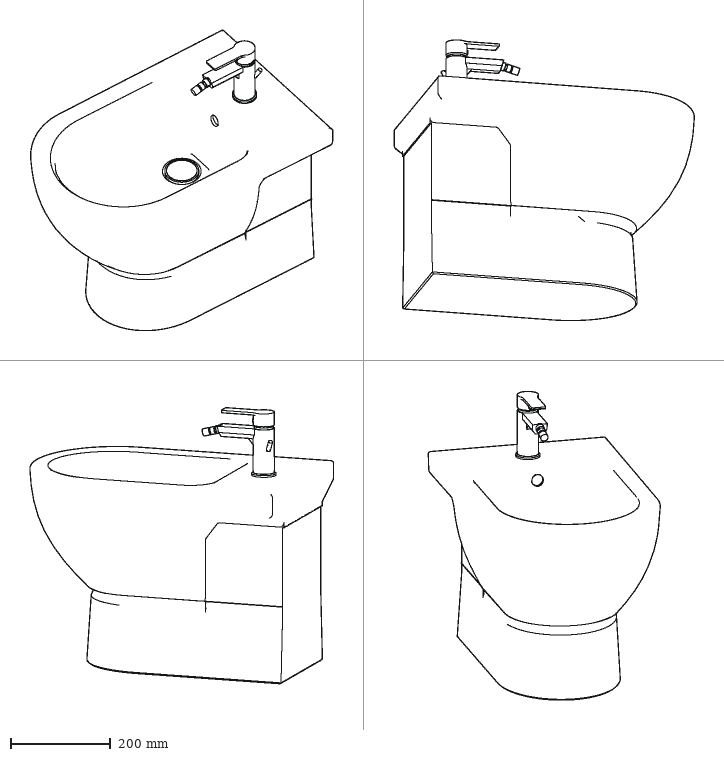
import cadquery as cq
import math


LENGTH = 569.5
RIM_HEIGHT = 399.0
RIM_EDGE_RADIUS = 7.0
SIDE_TAPER = 2.55

BOWL_SECTIONS = [
    (157.0, 117.5, 452.0, 114.0),
    (211.0, 144.5, 503.0, 136.5),
    (267.5, 166.5, 540.5, 154.0),
    (336.0, 179.5, 563.0, 159.5),
    (RIM_HEIGHT, 182.0, LENGTH, 156.5),
]

NECK_HEIGHT = 135.5
NECK_HALF_WIDTH = 116.0
NECK_REACH = 445.0
WAIST_HEIGHT = 149.0
WAIST_HALF_WIDTH = 113.5
WAIST_REACH = 441.5
FOOT_HALF_WIDTH = 125.5
FOOT_REACH = 454.0
FOOT_ROUND = 142.5
NECK_ROUND = 125.5
PEDESTAL_BACK = 3.0
SETBACK_TOP = 319.0
FOOT_CHAMFER = 3.0

RECESS_OUTER_TOP = 353.5
RECESS_OUTER_REACH = 179.5
RECESS_OUTER_CORNER = 8.5
RECESS_INNER_TOP = 320.0
RECESS_INNER_REACH = 167.0
RECESS_CORNER_REACH = 140.0
RECESS_CORNER_HEIGHT = 285.0
RECESS_EDGE_RADIUS = 8.5

BASIN_SECTIONS = [
    (278.0, 45.5, 193.5, 364.5, 23.0),
    (285.0, 94.0, 179.5, 444.0, 40.0),
    (302.0, 122.5, 170.0, 495.5, 45.5),
    (347.5, 138.5, 161.0, 521.0, 48.5),
    (RIM_HEIGHT, 147.0, 155.5, 536.5, 51.0),
]
BASIN_EDGE_RADIUS = 7.0
BASIN_FLOOR = BASIN_SECTIONS[0][0]

OVERFLOW_HEIGHT = 371.0
OVERFLOW_DIAMETER = 24.0
OVERFLOW_REACH = 154.0

DRAIN_Y = -241.0
DRAIN_SEAT_RADIUS = 39.0
DRAIN_SEAT_DEPTH = 4.5
DRAIN_RING_RADIUS = 34.0
DRAIN_RING_RISE = 1.5
PLUG_RADIUS = 31.0
PLUG_EDGE_RISE = 3.0
PLUG_DOME_RISE = 5.5

TAP_Y = -84.0
TAP_RADIUS = 21.35
TAP_FLANGE_RADIUS = 24.5
TAP_FLANGE_HEIGHT = 5.5
TAP_FLANGE_CHAMFER = 2.0
TAP_TOP = 495.5
TAP_NECK_RADIUS = 19.5
TAP_NECK_TOP = 499.5

SPOUT_HALF_WIDTH = 15.5
SPOUT_SIDE_HEIGHT = 12.5
SPOUT_HEIGHT = 22.0
SPOUT_BOTTOM_HALF_WIDTH = 8.0
SPOUT_END_Y = -177.5
SPOUT_END_SLANT = 5.5
GUSSET_REACH = 8.5
GUSSET_HEIGHT = 11.0

LEVER_TOP = 528.5
LEVER_WIDTH = 29.5
LEVER_END_Y = -170.0
LEVER_THICKNESS = 5.0
LEVER_TIP_THICKNESS = 3.0
LEVER_CAP_BASE_CHAMFER = 3.0
LEVER_NECK_RADIUS = 17.0
LEVER_CORNER_RADIUS = 3.5
BUTTON_HEIGHT = 510.0
BUTTON_RADIUS = 4.5
BUTTON_RISE = 1.0

NOZZLE_TILT = 15.0
NOZZLE_SOCKET_DEPTH = 5.5
NOZZLE_STEPS = [
    (11.5, 8.25),
    (4.0, 5.0),
    (9.0, 7.7),
    (2.0, 5.0),
    (14.0, 7.7),
]
NOZZLE_DROP = 7.5

KNOB_RADIUS = 4.25
KNOB_LENGTH = 23.0
KNOB_LEAN = 30.0
KNOB_AZIMUTH = 45.0
KNOB_BASE_DISTANCE = 20.5
KNOB_BASE_HEIGHT = 453.5


def round_front_outline(height, half_width, reach, front_length, back=0.0, taper=0.0):
    """Horizontal outline with a straight wall side and a half-elliptic front."""
    round_start = front_length - reach
    return (
        cq.Workplane("XY", origin=(0, 0, height))
        .moveTo(half_width + taper, -back)
        .lineTo(-half_width - taper, -back)
        .lineTo(-half_width, round_start)
        .ellipseArc(half_width, front_length, 180, 360, sense=1)
        .close()
        .val()
    )


def make_bowl():
    wires = [round_front_outline(*section, taper=SIDE_TAPER) for section in BOWL_SECTIONS]
    bowl = cq.Workplane(cq.Solid.makeLoft(wires))
    return bowl.faces(">Z").edges().fillet(RIM_EDGE_RADIUS)


def set_back_from_wall(bowl):
    """Trim the wall side below the rear shelf so that it lines up with the pedestal."""
    cutter = (
        cq.Workplane("XZ")
        .rect(LENGTH, 2 * SETBACK_TOP)
        .extrude(PEDESTAL_BACK)
    )
    return bowl.cut(cutter)


def make_recess_cutter():
    """Recess on the +X side: narrows from the bowl's side to the pedestal."""
    below = BOWL_SECTIONS[0][0] - 5.5
    beyond_wall = 5.5
    outer_x = BOWL_SECTIONS[-1][1] + SIDE_TAPER
    outer = [
        (beyond_wall, below),
        (beyond_wall, RECESS_OUTER_TOP),
        (RECESS_OUTER_CORNER - RECESS_OUTER_REACH, RECESS_OUTER_TOP),
        (-RECESS_OUTER_REACH, RECESS_OUTER_TOP - RECESS_OUTER_CORNER),
        (-RECESS_OUTER_REACH, below),
    ]
    inner = [
        (beyond_wall, below),
        (beyond_wall, RECESS_INNER_TOP),
        (-RECESS_CORNER_REACH, RECESS_INNER_TOP),
        (-RECESS_INNER_REACH, RECESS_CORNER_HEIGHT),
        (-RECESS_INNER_REACH, below),
    ]
    return (
        cq.Workplane("YZ", origin=(NECK_HALF_WIDTH, 0, 0))
        .polyline(inner)
        .close()
        .workplane(offset=outer_x - NECK_HALF_WIDTH)
        .polyline(outer)
        .close()
        .loft(ruled=True)
    )


def cut_recesses(bowl):
    """Cut both recesses and round the edges they leave on the bowl's sides."""
    right_cutter = make_recess_cutter()
    bowl = bowl.cut(right_cutter).cut(right_cutter.mirror("YZ"))
    inside = (FOOT_HALF_WIDTH, -RECESS_OUTER_REACH - RECESS_EDGE_RADIUS, BOWL_SECTIONS[0][0])
    outside = (LENGTH, RECESS_EDGE_RADIUS, RECESS_OUTER_TOP + RECESS_EDGE_RADIUS)
    for side in (1, -1):
        recess_edges = bowl.edges(cq.selectors.BoxSelector(
            (side * inside[0], inside[1], inside[2]),
            (side * outside[0], outside[1], outside[2]),
        ))
        bowl = recess_edges.fillet(RECESS_EDGE_RADIUS)
    return bowl


def make_pedestal():
    sole = round_front_outline(
        0,
        FOOT_HALF_WIDTH - FOOT_CHAMFER,
        FOOT_REACH - FOOT_CHAMFER,
        FOOT_ROUND - FOOT_CHAMFER,
        PEDESTAL_BACK + FOOT_CHAMFER,
    )
    foot = round_front_outline(
        FOOT_CHAMFER, FOOT_HALF_WIDTH, FOOT_REACH, FOOT_ROUND, PEDESTAL_BACK)
    neck = round_front_outline(
        NECK_HEIGHT, NECK_HALF_WIDTH, NECK_REACH, NECK_ROUND, PEDESTAL_BACK)
    bowl_base = round_front_outline(*BOWL_SECTIONS[0], back=PEDESTAL_BACK)
    waist = round_front_outline(
        WAIST_HEIGHT, WAIST_HALF_WIDTH, WAIST_REACH, NECK_ROUND, PEDESTAL_BACK)
    base = cq.Workplane(cq.Solid.makeLoft([sole, foot, neck], True))
    collar = cq.Workplane(cq.Solid.makeLoft([neck, waist, bowl_base]))
    rear_block = (
        cq.Workplane("XZ", origin=(0, -PEDESTAL_BACK, NECK_HEIGHT))
        .rect(2 * NECK_HALF_WIDTH, 2 * (BOWL_SECTIONS[0][0] - NECK_HEIGHT))
        .extrude(RECESS_INNER_REACH - PEDESTAL_BACK)
    )
    return base.union(collar).union(rear_block)


def basin_outline(height, half_width, back, front, corner):
    """Horizontal outline with rounded rear corners and a half-elliptic front."""
    diagonal = corner * (1 - math.sqrt(0.5))
    return (
        cq.Workplane("XY", origin=(0, 0, height))
        .moveTo(half_width - corner, -back)
        .lineTo(corner - half_width, -back)
        .threePointArc(
            (diagonal - half_width, -back - diagonal), (-half_width, -back - corner))
        .lineTo(-half_width, half_width - front)
        .ellipseArc(half_width, half_width, 180, 360, sense=1)
        .lineTo(half_width, -back - corner)
        .threePointArc(
            (half_width - diagonal, -back - diagonal), (half_width - corner, -back))
        .close()
        .val()
    )


def make_overflow_cutter():
    depth = BASIN_SECTIONS[0][2] - OVERFLOW_REACH
    return (
        cq.Workplane("XZ", origin=(0, -OVERFLOW_REACH, OVERFLOW_HEIGHT))
        .circle(OVERFLOW_DIAMETER / 2)
        .extrude(depth)
    )


def make_drain_seat_cutter():
    """Conical seat around the drain, running down to the ring's footprint."""
    bottom = BASIN_FLOOR - DRAIN_SEAT_DEPTH
    return (
        cq.Workplane("XY", origin=(0, DRAIN_Y, bottom))
        .circle(DRAIN_RING_RADIUS)
        .workplane(offset=DRAIN_SEAT_DEPTH)
        .circle(DRAIN_SEAT_RADIUS)
        .loft(ruled=True)
    )


def make_bidet():
    bowl = cut_recesses(set_back_from_wall(make_bowl()))
    basin = cq.Workplane(cq.Solid.makeLoft([basin_outline(*s) for s in BASIN_SECTIONS]))
    bidet = bowl.cut(basin)
    opening = bidet.faces(">Z").val().innerWires()[0]
    bidet = bidet.newObject(opening.Edges()).fillet(BASIN_EDGE_RADIUS)
    bidet = bidet.union(make_pedestal())
    bidet = bidet.cut(make_overflow_cutter()).cut(make_drain_seat_cutter())
    return bidet


def make_drain_ring():
    bottom = BASIN_FLOOR - DRAIN_SEAT_DEPTH
    return (
        cq.Workplane("XY", origin=(0, DRAIN_Y, bottom))
        .circle(DRAIN_RING_RADIUS)
        .circle(PLUG_RADIUS)
        .extrude(DRAIN_SEAT_DEPTH + DRAIN_RING_RISE)
    )


def make_drain_plug():
    """Domed disc inside the drain ring."""
    edge_height = DRAIN_SEAT_DEPTH + PLUG_EDGE_RISE
    dome_height = edge_height + PLUG_DOME_RISE
    sphere_radius = (PLUG_RADIUS**2 + PLUG_DOME_RISE**2) / (2 * PLUG_DOME_RISE)
    half_x = PLUG_RADIUS / 2
    half_z = dome_height - sphere_radius + math.sqrt(sphere_radius**2 - half_x**2)
    return (
        cq.Workplane("XZ", origin=(0, DRAIN_Y, BASIN_FLOOR - DRAIN_SEAT_DEPTH))
        .lineTo(PLUG_RADIUS, 0)
        .lineTo(PLUG_RADIUS, edge_height)
        .threePointArc((half_x, half_z), (0, dome_height))
        .close()
        .revolve(360, (0, 0), (0, 1))
    )


def tap_cylinder(bottom, top, radius):
    return cq.Workplane("XY", origin=(0, TAP_Y, bottom)).circle(radius).extrude(top - bottom)


def make_spout():
    """Bar with sides that slope together at the bottom and a slanted front end."""
    bottom = TAP_TOP - SPOUT_HEIGHT
    side_bottom = TAP_TOP - SPOUT_SIDE_HEIGHT
    bar = (
        cq.Workplane("XZ", origin=(0, TAP_Y, 0))
        .polyline([
            (-SPOUT_HALF_WIDTH, TAP_TOP),
            (SPOUT_HALF_WIDTH, TAP_TOP),
            (SPOUT_HALF_WIDTH, side_bottom),
            (SPOUT_BOTTOM_HALF_WIDTH, bottom),
            (-SPOUT_BOTTOM_HALF_WIDTH, bottom),
            (-SPOUT_HALF_WIDTH, side_bottom),
        ])
        .close()
        .extrude(TAP_Y - SPOUT_END_Y)
    )
    end_cutter = (
        cq.Workplane("YZ")
        .polyline([
            (SPOUT_END_Y, TAP_TOP),
            (SPOUT_END_Y, bottom),
            (SPOUT_END_Y + SPOUT_END_SLANT, bottom),
        ])
        .close()
        .extrude(SPOUT_HALF_WIDTH, both=True)
    )
    front_y = TAP_Y - TAP_RADIUS
    gusset = (
        cq.Workplane("YZ")
        .polyline([
            (TAP_Y, bottom),
            (front_y - GUSSET_REACH, bottom),
            (front_y, bottom - GUSSET_HEIGHT),
            (TAP_Y, bottom - GUSSET_HEIGHT),
        ])
        .close()
        .extrude(SPOUT_BOTTOM_HALF_WIDTH, both=True)
    )
    return bar.cut(end_cutter).union(gusset)


def make_tap_body(nozzle):
    flange = tap_cylinder(RIM_HEIGHT, RIM_HEIGHT + TAP_FLANGE_HEIGHT, TAP_FLANGE_RADIUS)
    flange = flange.faces(">Z").edges().chamfer(TAP_FLANGE_CHAMFER)
    column = tap_cylinder(RIM_HEIGHT, TAP_TOP, TAP_RADIUS)
    neck = tap_cylinder(TAP_TOP, TAP_NECK_TOP, TAP_NECK_RADIUS)
    return flange.union(column).union(neck).union(make_spout()).cut(nozzle)


def make_lever():
    """Round cap with a thin handle that thins out towards its tip, and a button on its front."""
    cap = tap_cylinder(TAP_NECK_TOP, LEVER_TOP, TAP_RADIUS)
    cap = cap.faces("<Z").edges().chamfer(LEVER_CAP_BASE_CHAMFER)
    handle = (
        cq.Workplane("YZ")
        .polyline([
            (TAP_Y, LEVER_TOP),
            (LEVER_END_Y, LEVER_TOP),
            (LEVER_END_Y, LEVER_TOP - LEVER_TIP_THICKNESS),
            (LEVER_END_Y + LEVER_TIP_THICKNESS, LEVER_TOP - LEVER_THICKNESS),
            (TAP_Y, LEVER_TOP - LEVER_THICKNESS),
        ])
        .close()
        .extrude(LEVER_WIDTH / 2, both=True)
        .edges("|Z and <Y")
        .fillet(LEVER_CORNER_RADIUS)
    )
    cap = cap.union(handle)
    cap = cap.edges(cq.selectors.BoxSelector(
        (-LEVER_WIDTH, TAP_Y - TAP_RADIUS, LEVER_TOP - LEVER_THICKNESS),
        (LEVER_WIDTH, TAP_Y - LEVER_WIDTH / 4, LEVER_TOP))).edges("|Z").fillet(LEVER_NECK_RADIUS)
    button = (
        cq.Workplane("XZ", origin=(0, TAP_Y, BUTTON_HEIGHT))
        .circle(BUTTON_RADIUS)
        .extrude(TAP_RADIUS + BUTTON_RISE)
    )
    return cap.union(button)


def make_nozzle():
    """Stepped round nozzle tilted down from a socket in the spout's end."""
    start_y = SPOUT_END_Y + NOZZLE_SOCKET_DEPTH
    tilt = math.radians(NOZZLE_TILT)
    axis_plane = cq.Plane(
        origin=(0, start_y, TAP_TOP - NOZZLE_DROP),
        xDir=(1, 0, 0),
        normal=(0, -math.cos(tilt), -math.sin(tilt)),
    )
    nozzle = cq.Workplane(axis_plane)
    distance = 0
    for length, radius in NOZZLE_STEPS:
        step = cq.Workplane(axis_plane).workplane(offset=distance).circle(radius).extrude(length)
        nozzle = nozzle.union(step) if distance else step
        distance += length
    return nozzle


def make_knob(tap_body):
    """Small pull knob leaning outward from the back of the tap column."""
    azimuth = math.radians(KNOB_AZIMUTH)
    lean = math.radians(KNOB_LEAN)
    axis_plane = cq.Plane(
        origin=(
            KNOB_BASE_DISTANCE * math.cos(azimuth),
            TAP_Y + KNOB_BASE_DISTANCE * math.sin(azimuth),
            KNOB_BASE_HEIGHT,
        ),
        normal=(
            math.sin(lean) * math.cos(azimuth),
            math.sin(lean) * math.sin(azimuth),
            math.cos(lean),
        ),
    )
    return cq.Workplane(axis_plane).circle(KNOB_RADIUS).extrude(KNOB_LENGTH).cut(tap_body)


bidet = make_bidet()
drain_ring = make_drain_ring()
drain_plug = make_drain_plug()
nozzle = make_nozzle()
tap_body = make_tap_body(nozzle)
lever = make_lever()
knob = make_knob(tap_body)

result = cq.Compound.makeCompound([
    bidet.solids().val(),
    drain_ring.solids().val(),
    drain_plug.solids().val(),
    tap_body.solids().val(),
    lever.solids().val(),
    nozzle.solids().val(),
    knob.solids().val(),
])